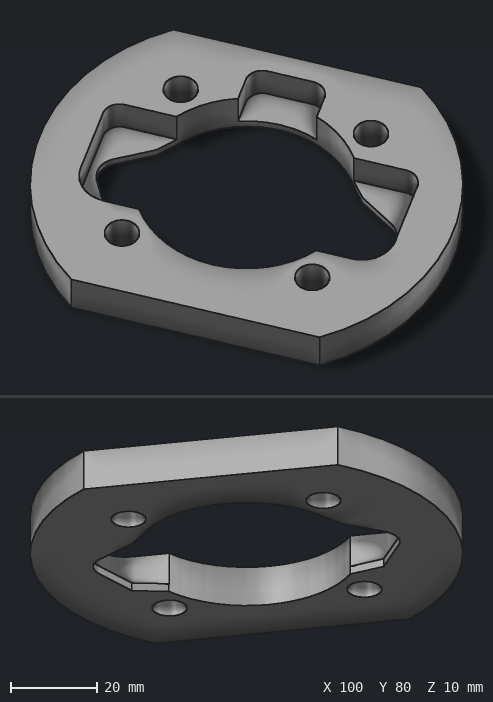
import cadquery as cq

plate_diameter = 100.0
plate_width = 80.0
plate_thickness = 10.0

bore_radius = 26.0
mounting_hole_diameter = 8.0
mounting_hole_pitch = 46.0

floor_thickness = 2.0
pocket_half_length = 38.0
pocket_top_y = 14.7
pocket_bottom_y = -14.8
pocket_top_corner_radius = 4.0
pocket_bottom_corner_radius = 8.0
notch_width = 19.0
notch_top_y = 34.2
notch_corner_radius = 4.0

ear_bore_point = (21.2, -14.8)
ear_lower_point = (29.7, -12.6)
ear_tip_point = (37.9, 1.8)
ear_upper_point = (24.9, 10.3)
ear_shoulder_point = (21.3, 14.7)
ear_tip_radius = 5.5


def make_plate():
    """Disc trimmed to the plate width by flats facing +Y and -Y."""
    disc = cq.Workplane("XY").circle(plate_diameter / 2).extrude(plate_thickness)
    band = cq.Workplane("XY").rect(plate_diameter, plate_width).extrude(plate_thickness)
    return disc.intersect(band)


def make_bore():
    """Round opening through the full thickness."""
    return cq.Workplane("XY").circle(bore_radius).extrude(plate_thickness)


def make_mounting_holes():
    """Four through holes on a square pattern."""
    return (
        cq.Workplane("XY")
        .rect(mounting_hole_pitch, mounting_hole_pitch, forConstruction=True)
        .vertices()
        .circle(mounting_hole_diameter / 2)
        .extrude(plate_thickness)
    )


def make_side_pockets():
    """Wide pocket crossing the bore, leaving one recess on each side of it."""
    length = 2 * pocket_half_length
    width = pocket_top_y - pocket_bottom_y
    return (
        cq.Workplane("XY", origin=(0, (pocket_top_y + pocket_bottom_y) / 2, floor_thickness))
        .rect(length, width)
        .extrude(plate_thickness - floor_thickness)
        .edges("|Z and >Y")
        .fillet(pocket_top_corner_radius)
        .edges("|Z and <Y")
        .fillet(pocket_bottom_corner_radius)
    )


def make_notch():
    """Narrow pocket running from the bore towards the +Y flat."""
    return (
        cq.Workplane("XY", origin=(0, notch_top_y / 2, floor_thickness))
        .rect(notch_width, notch_top_y)
        .extrude(plate_thickness - floor_thickness)
        .edges("|Z and >Y")
        .fillet(notch_corner_radius)
    )


def make_ears():
    """Both ears of the opening in the pocket floor, each with a rounded tip."""
    outline = [
        (0, 0),
        ear_bore_point,
        ear_lower_point,
        ear_tip_point,
        ear_upper_point,
        ear_shoulder_point,
    ]
    right_ear = (
        cq.Workplane("XY")
        .polyline(outline)
        .close()
        .extrude(floor_thickness)
        .edges("|Z and >X")
        .fillet(ear_tip_radius)
    )
    return right_ear, right_ear.mirror("YZ")


result = make_plate()
for cutter in (make_bore(), make_mounting_holes(), make_side_pockets(), make_notch(), *make_ears()):
    result = result.cut(cutter)